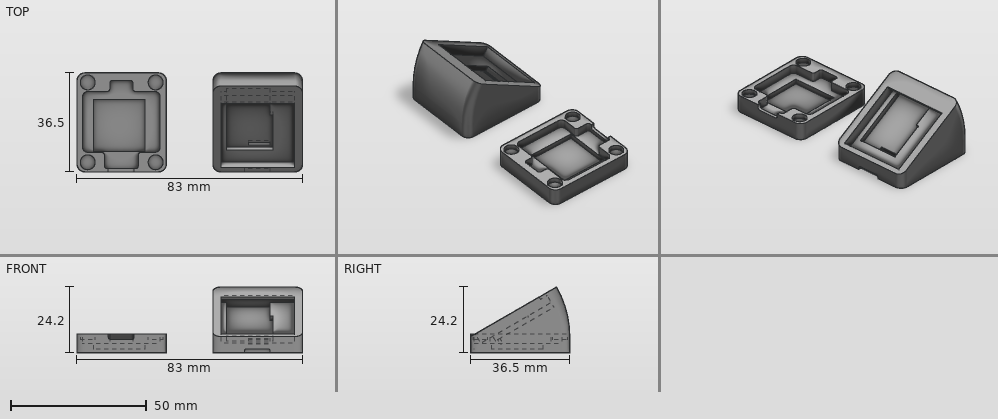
import cadquery as cq

TOTAL_LENGTH = 83.0
WIDTH = 32.95
DEPTH = 36.5
CORNER_RADIUS = 3.0
FRONT_WALL = 1.25
COVER_LEFT = TOTAL_LENGTH - WIDTH

BASE_HEIGHT = 7.0
TRAY_LEFT, TRAY_RIGHT = 2.1, 30.6
TRAY_FRONT, TRAY_BACK = 7.2, 29.6
TRAY_DEPTH = 3.6
TRAY_CORNER_RADIUS = 2.0
BACK_BAY_LEFT, BACK_BAY_RIGHT = 12.1, 20.6
BACK_BAY_END = 33.7
FRONT_BAY_LEFT, FRONT_BAY_RIGHT = 10.1, 22.6
BAY_RADIUS = 1.0
WELL_SIZE = 19.0
WELL_LEFT, WELL_FRONT = 6.1, 7.6
WELL_DEPTH = 2.0
RECESS_DIAMETER = 5.5
RECESS_DEPTH = 2.0
RECESS_INSET_X = 4.0
RECESS_INSET_Y = 3.6

NOTCH_LEFT, NOTCH_RIGHT = 11.5, 21.1
NOTCH_RADIUS = 1.0
BASE_NOTCH_DEPTH = 2.1
COVER_NOTCH_HEIGHT = 1.5

PLINTH_HEIGHT = 6.0
TILT = 30.0

WINDOW_LOW, WINDOW_HIGH = 2.0, 29.1
WINDOW_MARGIN = 3.0
LIP_THICKNESS = 1.0
CAVITY_HIGH = 31.95
CAVITY_DEPTH = 4.0
POCKET_LEFT, POCKET_RIGHT = 5.1, 22.1
POCKET_LOW = 7.1
POCKET_DEPTH = CAVITY_DEPTH + 2.0
STEP_LOW = 22.0
STEP_WIDTH = 1.0
SLOT_LEFT = 13.0
SLOT_RIGHT = POCKET_RIGHT - STEP_WIDTH
SLOT_LOW, SLOT_HIGH = 8.05, 9.05
SLOT_DEPTH = POCKET_DEPTH + 2.0


def box(x_range, y_range, z_range):
    """Axis-aligned block between pairs of limits."""
    size = [high - low for low, high in (x_range, y_range, z_range)]
    corner = (x_range[0], y_range[0], z_range[0])
    return cq.Workplane("XY").box(*size, centered=False).translate(corner)


def footprint(height):
    """Plain block with rounded vertical corners."""
    block = box((0, WIDTH), (0, DEPTH), (0, height))
    return block.edges("|Z").fillet(CORNER_RADIUS)


def notch(z_range, rounded_edges):
    """Rounded cable notch through the front wall."""
    block = box((NOTCH_LEFT, NOTCH_RIGHT), (0, FRONT_WALL), z_range)
    return block.edges(rounded_edges).fillet(NOTCH_RADIUS)


def tray():
    """Main tray cavity with a narrower bay at its back and front."""
    z_range = (BASE_HEIGHT - TRAY_DEPTH, BASE_HEIGHT)
    middle = box((TRAY_LEFT, TRAY_RIGHT), (TRAY_FRONT, TRAY_BACK), z_range)
    middle = middle.edges("|Z").fillet(TRAY_CORNER_RADIUS)
    back_bay = box((BACK_BAY_LEFT, BACK_BAY_RIGHT), (TRAY_FRONT, BACK_BAY_END), z_range)
    front_bay = box((FRONT_BAY_LEFT, FRONT_BAY_RIGHT), (FRONT_WALL, TRAY_BACK), z_range)
    back_bay = back_bay.edges("|Z and >Y").fillet(BAY_RADIUS)
    front_bay = front_bay.edges("|Z and <Y").fillet(BAY_RADIUS)
    cavity = middle.union(back_bay).union(front_bay)

    mouths = (
        (BACK_BAY_LEFT, TRAY_BACK),
        (BACK_BAY_RIGHT, TRAY_BACK),
        (FRONT_BAY_LEFT, TRAY_FRONT),
        (FRONT_BAY_RIGHT, TRAY_FRONT),
    )
    middle_z = BASE_HEIGHT - TRAY_DEPTH / 2
    for x, y in mouths:
        edge = cq.selectors.NearestToPointSelector((x, y, middle_z))
        cavity = cavity.edges("|Z").edges(edge).fillet(BAY_RADIUS)
    return cavity


def corner_recesses():
    """Four shallow round recesses in the top face of the base."""
    spacing_x = WIDTH - 2 * RECESS_INSET_X
    spacing_y = DEPTH - 2 * RECESS_INSET_Y
    return (
        cq.Workplane("XY", origin=(WIDTH / 2, DEPTH / 2, BASE_HEIGHT))
        .rarray(spacing_x, spacing_y, 2, 2)
        .circle(RECESS_DIAMETER / 2)
        .extrude(-RECESS_DEPTH)
    )


def make_base():
    tray_floor = BASE_HEIGHT - TRAY_DEPTH
    well = box(
        (WELL_LEFT, WELL_LEFT + WELL_SIZE),
        (WELL_FRONT, WELL_FRONT + WELL_SIZE),
        (tray_floor - WELL_DEPTH, tray_floor),
    )
    cable_notch = notch((BASE_HEIGHT - BASE_NOTCH_DEPTH, BASE_HEIGHT), "|Y and <Z")
    return footprint(BASE_HEIGHT).cut(tray()).cut(well).cut(corner_recesses()).cut(cable_notch)


def lay_on_slope(shape):
    """Tilt a shape drawn on the level base plane onto the sloped face."""
    return shape.rotate((0, 0, 0), (1, 0, 0), TILT).translate((0, 0, PLINTH_HEIGHT))


def sloped_box(x_range, slope_range, depth_range):
    """Block square to the sloped face, placed along the slope and inward from it."""
    inward = (-depth_range[1], -depth_range[0])
    return lay_on_slope(box(x_range, slope_range, inward))


def round_bottom_slot():
    """Narrow slot in the pocket floor with a half-round bottom."""
    middle = (SLOT_LOW + SLOT_HIGH) / 2
    radius = (SLOT_HIGH - SLOT_LOW) / 2
    profile = (
        cq.Workplane("YZ", origin=(SLOT_LEFT, 0, 0))
        .moveTo(SLOT_LOW, -POCKET_DEPTH)
        .lineTo(SLOT_LOW, -SLOT_DEPTH + radius)
        .threePointArc((middle, -SLOT_DEPTH), (SLOT_HIGH, -SLOT_DEPTH + radius))
        .lineTo(SLOT_HIGH, -POCKET_DEPTH)
        .close()
    )
    return lay_on_slope(profile.extrude(SLOT_RIGHT - SLOT_LEFT))


def cover_shell():
    """Plinth whose top face is swept through the tilt angle about its front edge."""
    plinth = footprint(PLINTH_HEIGHT)
    wedge = plinth.faces(">Z").wires().toPending()
    wedge = wedge.workplane(origin=(0, 0, PLINTH_HEIGHT))
    wedge = wedge.revolve(TILT, (0, 0, 0), (1, 0, 0), combine=False)
    return plinth.union(wedge)


def make_cover():
    window_x = (WINDOW_MARGIN, WIDTH - WINDOW_MARGIN)
    step_left = POCKET_RIGHT - STEP_WIDTH
    below_cavity = (CAVITY_DEPTH, POCKET_DEPTH)
    cuts = (
        sloped_box(window_x, (WINDOW_LOW, WINDOW_HIGH), (0, LIP_THICKNESS)),
        sloped_box(window_x, (WINDOW_LOW, CAVITY_HIGH), (LIP_THICKNESS, CAVITY_DEPTH)),
        sloped_box((POCKET_LEFT, step_left), (POCKET_LOW, CAVITY_HIGH), below_cavity),
        sloped_box((step_left, POCKET_RIGHT), (POCKET_LOW, STEP_LOW), below_cavity),
        round_bottom_slot(),
        notch((0, COVER_NOTCH_HEIGHT), "|Y and >Z"),
    )
    cover = cover_shell()
    for cut in cuts:
        cover = cover.cut(cut)
    return cover.translate((COVER_LEFT, 0, 0))


base = make_base()
cover = make_cover()
result = cq.Compound.makeCompound([base.val(), cover.val()])